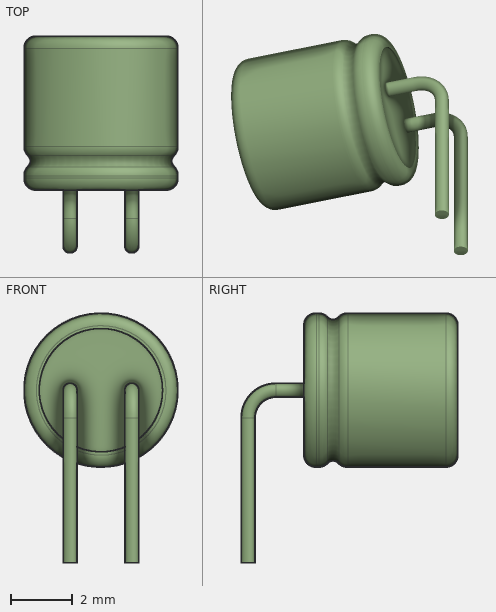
import cadquery as cq
import math


total_depth = 7.03
total_height = 8.1

can_diameter = 5.0
can_length = 5.0
edge_radius = 0.4

groove_position = 0.95
groove_depth = 0.2
groove_radius = 0.25
shoulder_radius = edge_radius

seal_diameter = 4.0
seal_depth = 0.05

lead_diameter = 0.45
lead_pitch = 2.0
bend_radius = 0.9

can_radius = can_diameter / 2
lead_radius = lead_diameter / 2


def polar_point(center, radius, angle):
    """Point on a circle, with the angle in radians from the radial direction toward +Y."""
    return (
        center[0] + radius * math.cos(angle),
        center[1] + radius * math.sin(angle),
    )


def make_can():
    """Revolve the half outline (radius, y) of the can about the Y axis."""
    center_distance = shoulder_radius + groove_radius
    sweep = math.acos(1 - groove_depth / center_distance)
    shoulder_offset = center_distance * math.sin(sweep)

    shoulder_center_r = can_radius - shoulder_radius
    front_shoulder = (shoulder_center_r, groove_position - shoulder_offset)
    back_shoulder = (shoulder_center_r, groove_position + shoulder_offset)
    groove_bottom = (can_radius - groove_depth, groove_position)

    rim_radius = can_radius - edge_radius
    front_edge = (rim_radius, edge_radius)
    back_edge = (rim_radius, can_length - edge_radius)
    eighth_turn = math.pi / 4

    outline = (
        cq.Workplane("XY")
        .moveTo(0, 0)
        .lineTo(rim_radius, 0)
        .threePointArc(
            polar_point(front_edge, edge_radius, -eighth_turn),
            (can_radius, edge_radius),
        )
        .lineTo(can_radius, front_shoulder[1])
        .threePointArc(
            polar_point(front_shoulder, shoulder_radius, sweep / 2),
            polar_point(front_shoulder, shoulder_radius, sweep),
        )
        .threePointArc(
            groove_bottom,
            polar_point(back_shoulder, shoulder_radius, -sweep),
        )
        .threePointArc(
            polar_point(back_shoulder, shoulder_radius, -sweep / 2),
            (can_radius, back_shoulder[1]),
        )
        .lineTo(can_radius, can_length - edge_radius)
        .threePointArc(
            polar_point(back_edge, edge_radius, eighth_turn),
            (rim_radius, can_length),
        )
        .lineTo(0, can_length)
        .close()
    )
    return outline.revolve(360, (0, 0), (0, 1))


def make_seal_recess():
    """Disc to remove from the lead end."""
    return cq.Workplane("XZ", origin=(0, seal_depth, 0)).circle(seal_diameter / 2).extrude(seal_depth)


def make_lead(x):
    """Round wire leaving the seal along -Y and bending down to its tip."""
    drop_y = can_length - total_depth + lead_radius
    bend_start_y = drop_y + bend_radius
    tip_z = can_radius - total_height
    bend_middle = polar_point((-bend_radius, bend_start_y), bend_radius, -math.pi / 4)

    path = (
        cq.Workplane("YZ", origin=(x, 0, 0))
        .moveTo(seal_depth, 0)
        .lineTo(bend_start_y, 0)
        .threePointArc((bend_middle[1], bend_middle[0]), (drop_y, -bend_radius))
        .lineTo(drop_y, tip_z)
    )
    return cq.Workplane("XZ", origin=(x, seal_depth, 0)).circle(lead_radius).sweep(path)


result = make_can().cut(make_seal_recess())
for side in (-1, 1):
    result = result.union(make_lead(side * lead_pitch / 2))